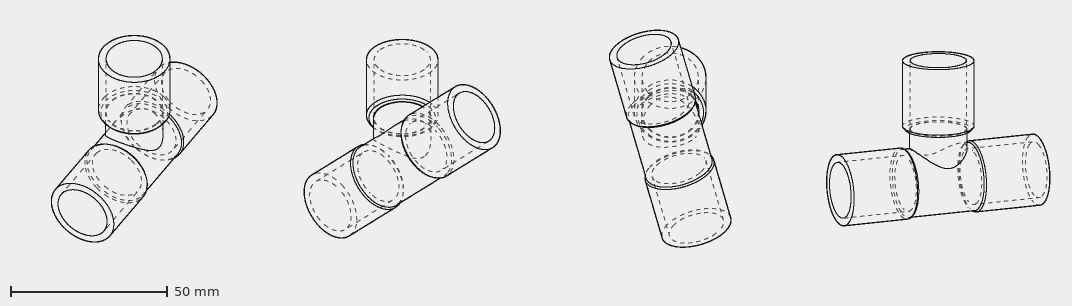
import cadquery as cq

run_length = 68.0
branch_height = 39.5

socket_diameter = 23.0
bore_diameter = 18.0
socket_length = 22.65
bore_depth = socket_length
run_chamfer_length = 0.6
branch_chamfer_length = 0.95
branch_chamfer_width = 0.8

run_pipe_diameter = 22.0
branch_pipe_diameter = 18.5
run_chamfer_width = (socket_diameter - run_pipe_diameter) / 2


def mouth_plane(direction, distance):
    """Plane at a socket mouth, facing outward along the given direction."""
    origin = tuple(distance * component for component in direction)
    return cq.Plane(origin=origin, xDir=(1, 0, 0), normal=direction)


def socket(plane, chamfer_length, chamfer_width):
    """Solid socket running inward from its mouth, chamfered at the inner end."""
    body = cq.Workplane(plane).circle(socket_diameter / 2).extrude(-socket_length)
    inner_centre = cq.Workplane(plane).workplane(offset=-socket_length).plane.origin
    inner_edge = body.edges(cq.selectors.NearestToPointSelector(inner_centre.toTuple()))
    return inner_edge.chamfer(chamfer_length, chamfer_width)


def bore(plane):
    """Blind flat-bottomed bore cut inward from a socket mouth."""
    return cq.Workplane(plane).circle(bore_diameter / 2).extrude(-bore_depth)


front_mouth = mouth_plane((0, -1, 0), run_length / 2)
back_mouth = mouth_plane((0, 1, 0), run_length / 2)
branch_mouth = mouth_plane((0, 0, 1), branch_height)

run_pipe_length = run_length - 2 * socket_length
run_pipe = cq.Workplane("XZ").circle(run_pipe_diameter / 2).extrude(run_pipe_length / 2, both=True)
branch_pipe = cq.Workplane("XY").circle(branch_pipe_diameter / 2).extrude(branch_height - socket_length)
result = run_pipe.union(branch_pipe)

for mouth in (front_mouth, back_mouth):
    result = result.union(socket(mouth, run_chamfer_length, run_chamfer_width))
result = result.union(socket(branch_mouth, branch_chamfer_length, branch_chamfer_width))

for mouth in (front_mouth, back_mouth, branch_mouth):
    result = result.cut(bore(mouth))